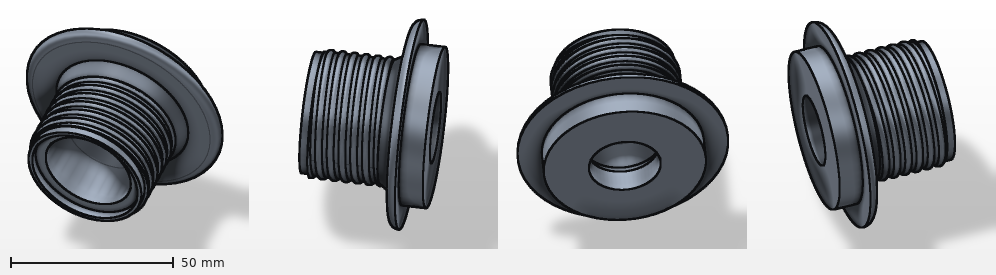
import cadquery as cq


flange_radius = 32.5
flange_thickness = 3.0
flange_rounding = 2.9
plug_radius = 50.0 / 2
plug_length = 7.5

neck_base_radius = 22.0
neck_base_shift = 0.3
neck_length = 4.5

thread_length = 21.8
thread_root_radius = 19.25
thread_crest_radius = 19.95
thread_pitch = 3.65
ridge_width = 2.35
ridge_overlap = 0.4
first_crest = 5.5
collar_radius = 37.65 / 2
collar_length = 2.65

counterbore_radius = 35.05 / 2
counterbore_depth = 2.65
bore_mouth_radius = 14.2
bore_bend_radius = 13.7
bore_bend_depth = 18.2
bore_throat_radius = 12.55
rear_hole_radius = 11.05

plug_back = flange_thickness + plug_length
thread_start = -neck_length
thread_end = thread_start - thread_length
tube_end = thread_end - collar_length
counterbore_floor = tube_end + counterbore_depth
bore_bend = tube_end + bore_bend_depth


def disc(radius, front, back):
    """Cylinder about the Y axis between two Y positions."""
    return cq.Workplane("XZ", origin=(0, back, 0)).circle(radius).extrude(back - front)


def taper(front_radius, front, back_radius, back, back_shift=0):
    """Cone between two circles, the back one optionally shifted along X."""
    return (
        cq.Workplane("XZ", origin=(0, back, 0))
        .center(back_shift, 0)
        .circle(back_radius)
        .workplane(offset=back - front)
        .center(-back_shift, 0)
        .circle(front_radius)
        .loft(ruled=True)
    )


def flange():
    rim = disc(flange_radius, 0, flange_thickness).faces("<Y").edges().fillet(flange_rounding)
    return rim.union(disc(plug_radius, flange_thickness, plug_back))


def thread_ridge():
    """Right-hand rounded ridge, trimmed to the threaded length."""
    start = first_crest - 2 * thread_pitch
    helix_length = thread_length + 4 * thread_pitch
    inner_radius = thread_root_radius - ridge_overlap
    helix = cq.Wire.makeHelix(thread_pitch, helix_length, thread_root_radius)
    ridge = (
        cq.Workplane("XZ")
        .moveTo(inner_radius, -ridge_width / 2)
        .threePointArc((thread_crest_radius, 0), (inner_radius, ridge_width / 2))
        .close()
        .sweep(cq.Workplane(helix), isFrenet=True)
    )
    ridge = ridge.rotate((0, 0, 0), (0, 0, 1), 90).rotate((0, 0, 0), (1, 0, 0), 90)
    ridge = ridge.translate((0, -start, 0))
    return ridge.intersect(disc(flange_radius, thread_end, thread_start))


def tube():
    neck = taper(thread_root_radius, thread_start, neck_base_radius, 0, neck_base_shift)
    core = disc(thread_root_radius, thread_end, 0)
    collar = disc(collar_radius, tube_end, thread_end)
    return core.union(neck).union(collar).union(thread_ridge())


def opening():
    counterbore = disc(counterbore_radius, tube_end, counterbore_floor)
    bore = taper(bore_mouth_radius, counterbore_floor, bore_bend_radius, bore_bend)
    narrowing = taper(bore_bend_radius, bore_bend, bore_throat_radius, 0)
    throat = taper(bore_throat_radius, 0, rear_hole_radius, flange_thickness)
    rear_hole = disc(rear_hole_radius, flange_thickness, plug_back)
    return counterbore.union(bore).union(narrowing).union(throat).union(rear_hole)


result = flange().union(tube()).cut(opening())